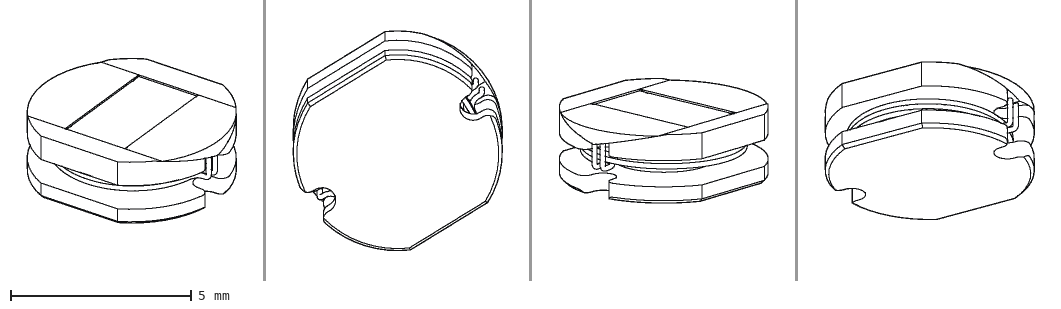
import cadquery as cq
import math


core_diameter = 5.8
core_radius = core_diameter / 2
width_across_flats = 5.2
core_height = 2.0
bottom_flange_thickness = 0.5
top_flange_bottom = 1.25
bottom_chamfer = 0.1
column_diameter = 2.8

notch_half_width = 0.37
notch_arc_center_x = 2.5
notch_lip_radius = 0.25

groove_half_width = 2.0
groove_depth = 0.5
terminal_setback = 0.045
floor_step = 0.05
terminal_half_gap = 1.0
terminal_top = core_height - terminal_setback
floor_height = terminal_top - floor_step
terminal_half_width = groove_half_width * (1 - terminal_setback / groove_depth)

wire_diameter = 0.145
wire_radius = wire_diameter / 2
wire_spacing = 0.3
outer_winding_radius = 2.245
winding_start_height = 1.15
winding_end_height = 0.78
winding_turns = 2.5
leg_x = 2.685
leg_bend_radius = 0.105
lead_arc_radius = 0.35

lead_arc_center_y = -(wire_spacing / 2 + lead_arc_radius)
lead_arc_center_distance = outer_winding_radius + lead_arc_radius
lead_arc_center_x = math.sqrt(lead_arc_center_distance**2 - lead_arc_center_y**2)
lead_angle = math.asin(-lead_arc_center_y / lead_arc_center_distance)


def make_flange(bottom, thickness):
    """Disc with two parallel flats facing -Y and +Y."""
    disc = cq.Workplane("XY", origin=(0, 0, bottom)).circle(core_radius).extrude(thickness)
    flats = cq.Workplane("XY").box(core_diameter, width_across_flats, 2 * core_height)
    return disc.intersect(flats)


def make_notch():
    """Cutter for the -X notch: round floor, parallel sides, and lips rounded into the core rim."""
    lip_y = notch_half_width + notch_lip_radius
    lip_center_distance = core_radius - notch_lip_radius
    lip_x = math.sqrt(lip_center_distance**2 - lip_y**2)
    rim_x = lip_x * core_radius / lip_center_distance
    rim_y = lip_y * core_radius / lip_center_distance
    mid_angle = (math.atan2(lip_y, lip_x) - math.pi / 2) / 2
    lip_mid_x = lip_x + notch_lip_radius * math.cos(mid_angle)
    lip_mid_y = lip_y + notch_lip_radius * math.sin(mid_angle)
    return (
        cq.Workplane("XY")
        .moveTo(-notch_arc_center_x, notch_half_width)
        .lineTo(-lip_x, notch_half_width)
        .threePointArc((-lip_mid_x, lip_mid_y), (-rim_x, rim_y))
        .lineTo(-core_radius, rim_y)
        .lineTo(-core_radius, -rim_y)
        .lineTo(-rim_x, -rim_y)
        .threePointArc((-lip_mid_x, -lip_mid_y), (-lip_x, -notch_half_width))
        .lineTo(-notch_arc_center_x, -notch_half_width)
        .threePointArc((notch_half_width - notch_arc_center_x, 0), (-notch_arc_center_x, notch_half_width))
        .close()
        .extrude(core_height)
    )


def make_groove(start_x, length):
    """V-shaped prism along X whose wide side is flush with the core top."""
    return (
        cq.Workplane("YZ", origin=(start_x, 0, 0))
        .moveTo(-groove_half_width, core_height)
        .lineTo(0, core_height - groove_depth)
        .lineTo(groove_half_width, core_height)
        .close()
        .extrude(length)
    )


def make_terminal():
    """Terminal at -X: fills the groove from the middle gap out to the core rim."""
    groove = make_groove(-core_radius, core_radius - terminal_half_gap)
    rim = cq.Workplane("XY").circle(core_radius).extrude(terminal_top)
    return groove.intersect(rim)


def make_core():
    """Drum core with wire notches and terminal seats."""
    bottom_flange = make_flange(0, bottom_flange_thickness).faces("<Z").chamfer(bottom_chamfer)
    top_flange = make_flange(top_flange_bottom, core_height - top_flange_bottom)
    column = cq.Workplane("XY").circle(column_diameter / 2).extrude(top_flange_bottom)
    core = bottom_flange.union(column).union(top_flange)

    shallow_groove = make_groove(-core_radius, core_diameter).intersect(
        cq.Workplane("XY", origin=(0, 0, terminal_top)).rect(core_diameter, core_diameter).extrude(core_height)
    )
    pocket = (
        cq.Workplane("XY", origin=(0, 0, floor_height))
        .rect(2 * terminal_half_gap, 2 * terminal_half_width)
        .extrude(floor_step)
    )
    seat = make_groove(-core_radius, core_radius - terminal_half_gap)
    core = core.cut(shallow_groove).cut(pocket).cut(seat).cut(seat.mirror("YZ"))

    notch = make_notch()
    return core.cut(notch).cut(notch.mirror("YZ"))


def make_lead(side, height, inset):
    """Edges of one wire end, from the leg top to the winding; side is -1 at -X and +1 at +X.

    The leg drops through the notch, bends to run along X, then swings into the winding circle.
    """
    lead_y = inset - wire_spacing / 2
    arc_radius = lead_arc_radius + inset
    mid_angle = (math.pi / 2 + lead_angle) / 2
    bend_offset = leg_bend_radius * (1 - math.sqrt(0.5))

    leg_top = cq.Vector(side * leg_x, lead_y, terminal_top)
    leg_bottom = cq.Vector(side * leg_x, lead_y, height + leg_bend_radius)
    bend_middle = cq.Vector(side * (leg_x - bend_offset), lead_y, height + bend_offset)
    bend_end = cq.Vector(side * (leg_x - leg_bend_radius), lead_y, height)
    arc_start = cq.Vector(side * lead_arc_center_x, lead_y, height)
    arc_middle = cq.Vector(
        side * (lead_arc_center_x - arc_radius * math.cos(mid_angle)),
        lead_arc_center_y + arc_radius * math.sin(mid_angle),
        height,
    )
    arc_end = cq.Vector(
        side * (lead_arc_center_x - arc_radius * math.cos(lead_angle)),
        lead_arc_center_y + arc_radius * math.sin(lead_angle),
        height,
    )
    return [
        cq.Edge.makeLine(leg_top, leg_bottom),
        cq.Edge.makeThreePointArc(leg_bottom, bend_middle, bend_end),
        cq.Edge.makeLine(bend_end, arc_start),
        cq.Edge.makeThreePointArc(arc_start, arc_middle, arc_end),
    ]


def make_wire(inset):
    """Round wire wound around the column; inset moves it inward, parallel to the outer wire."""
    turns = winding_turns - lead_angle / math.pi
    rise = winding_start_height - winding_end_height
    helix = cq.Wire.makeHelix(rise / turns, rise, outer_winding_radius - inset, lefthand=True)
    helix = helix.rotate(cq.Vector(0, 0, 0), cq.Vector(0, 0, 1), -math.degrees(lead_angle))
    helix = helix.translate(cq.Vector(0, 0, winding_end_height))
    end_lead = make_lead(1, winding_end_height, inset)
    start_lead = make_lead(-1, winding_start_height, inset)
    path = cq.Wire.assembleEdges(end_lead + helix.Edges() + start_lead[::-1])
    leg_top = end_lead[0].startPoint()
    section = cq.Workplane("XY", origin=leg_top.toTuple()).circle(wire_radius)
    return section.sweep(cq.Workplane(path), isFrenet=True, transition="transformed")


core = make_core()
left_terminal = make_terminal()
terminals = [left_terminal, left_terminal.mirror("YZ")]

wires = []
for inset in (0, wire_spacing):
    wire = make_wire(inset)
    for terminal in terminals:
        wire = wire.cut(terminal)
    wires.append(wire)

result = cq.Compound.makeCompound(
    [core.val()] + [terminal.val() for terminal in terminals] + [wire.val() for wire in wires]
)